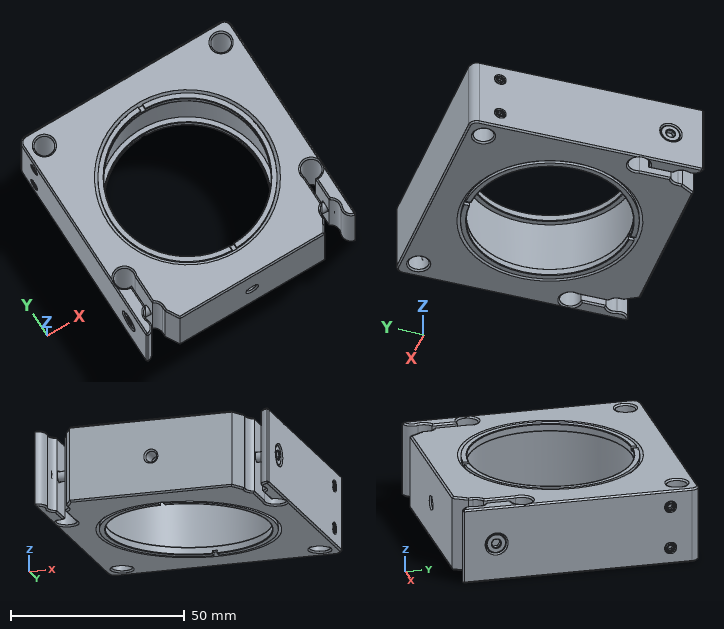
import cadquery as cq
import math

SIDE = 71.1
HEIGHT = 22.8
EDGE = 0.5
CORNER_R = 2.5
HALF = SIDE / 2
TOP = HEIGHT / 2

BORE_D = 51.7
BORE_RIM_D = 53.7
RING_BORE_D = 48.3
RING_EDGE = 0.2
RING_THICK = 2.35
RING_SLOT_W = 1.5
RING_SLOT_DEPTH = 1.0

ROD_POS = 30.0
ROD_R = 3.0
RELIEF_X = 31.7
RELIEF_Y = -16.65
RELIEF_R = 3.1
SLOT_W = 2.4
FLANK_TOP_Y = -31.35
FLANK_END_X = 24.6
NOSE_R = 3.0
NOSE_BEVEL_X = 0.35
NOSE_BEVEL_Y = 0.6
OVERRUN = 2.1

CLAMP_Y = -25.1
CLAMP_D = 3.0
CLAMP_LENGTH = 9.95
CLAMP_CLEARANCE_D = 3.4
CLAMP_HEAD_D = 5.5
CLAMP_HEAD_H = 2.7
CLAMP_SOCKET = 2.5
CLAMP_SOCKET_DEPTH = 1.5
CLAMP_SOCKET_RIM_D = 3.0
COUNTERBORE_D = 6.0
COUNTERBORE_DEPTH = 3.0
COUNTERBORE_EDGE = 0.4

SET_Y = 26.75
SET_Z = 6.4
SET_D = 3.0
SET_LENGTH = 3.0
SET_EDGE = 0.3
SET_SOCKET = 1.4
SET_SOCKET_RIM_D = 2.0
SET_SOCKET_DEPTH = 1.3
SET_HOLE_EDGE = 0.3

MOUNT_D = 3.3
MOUNT_RIM_D = 4.3
MOUNT_DEPTH = 6.0
DRILL_TIP_ANGLE = 118.0

SIDES = (-1, 1)


def cone(large_r, small_r, base, direction):
    """Truncated cone that narrows at 45 degrees from its base."""
    return cq.Workplane(obj=cq.Solid.makeCone(
        large_r, small_r, large_r - small_r, cq.Vector(*base), cq.Vector(*direction)))


def rod(radius, length, base, direction):
    """Cylinder that starts at base and runs along direction."""
    return cq.Workplane(obj=cq.Solid.makeCylinder(
        radius, length, cq.Vector(*base), cq.Vector(*direction)))


def hex_socket(across_flats, depth, rim_d, mouth):
    """Hexagonal socket with a countersunk mouth, running along +X from the point mouth."""
    across_corners = across_flats / math.cos(math.radians(30))
    socket = cq.Workplane("YZ", origin=mouth).polygon(6, across_corners).extrude(depth)
    return socket.union(cone(rim_d / 2, across_flats / 2, mouth, (1, 0, 0)))


def mirrored(body):
    return body.mirror("YZ")


def plate():
    body = cq.Workplane("XY").box(SIDE, SIDE, HEIGHT)
    body = body.edges("|Z and >Y").fillet(CORNER_R)
    return body.faces("<Z or >Z").chamfer(EDGE)


def through_hole(x, y, radius, rim):
    """Vertical through hole with a chamfer of width rim at both ends."""
    hole = rod(radius, HEIGHT, (x, y, -TOP), (0, 0, 1))
    for side in SIDES:
        hole = hole.union(cone(radius + rim, radius, (x, y, side * TOP), (0, 0, -side)))
    return hole


def clamp_channel_outline(z):
    """Slot, rod seat and lead-in on the -X side, open towards -Y."""
    slot_outer = -ROD_POS - SLOT_W / 2
    slot_inner = -ROD_POS + SLOT_W / 2
    seat_top_y = -ROD_POS + math.sqrt(ROD_R**2 - (SLOT_W / 2)**2)
    relief_outer_y = RELIEF_Y - math.sqrt(RELIEF_R**2 - (slot_outer + RELIEF_X)**2)
    relief_inner_y = RELIEF_Y - math.sqrt(RELIEF_R**2 - (slot_inner + RELIEF_X)**2)
    seat_inner = -ROD_POS + ROD_R
    diagonal = ROD_R * math.sqrt(0.5)

    reach = ROD_R + NOSE_R
    lean = math.acos((HALF - ROD_POS) / reach)
    nose_y = -ROD_POS - reach * math.sin(lean)
    touch = (-HALF + NOSE_R * math.cos(lean), nose_y + NOSE_R * math.sin(lean))
    nose_tip = (-HALF + NOSE_BEVEL_X, nose_y - math.sqrt(NOSE_R**2 - NOSE_BEVEL_X**2))
    nose_mid = (-HALF + NOSE_R * math.sqrt(0.5), nose_y - NOSE_R * math.sqrt(0.5))

    beyond = -HALF - OVERRUN
    flank_slope = -(seat_inner + FLANK_END_X) / (HALF + FLANK_TOP_Y)
    flank_beyond_x = -FLANK_END_X + flank_slope * OVERRUN
    bevel_beyond_y = nose_tip[1] + NOSE_BEVEL_Y * (1 + OVERRUN / NOSE_BEVEL_X)

    return (
        cq.Workplane("XY", origin=(0, 0, z))
        .moveTo(slot_outer, relief_outer_y)
        .threePointArc((-RELIEF_X, RELIEF_Y + RELIEF_R), (slot_inner, relief_inner_y))
        .lineTo(slot_inner, seat_top_y)
        .threePointArc((-ROD_POS + diagonal, -ROD_POS + diagonal), (seat_inner, -ROD_POS))
        .lineTo(seat_inner, FLANK_TOP_Y)
        .lineTo(flank_beyond_x, beyond)
        .lineTo(beyond, beyond)
        .lineTo(beyond, bevel_beyond_y)
        .lineTo(*nose_tip)
        .threePointArc(nose_mid, touch)
        .threePointArc((-ROD_POS - diagonal, -ROD_POS + diagonal), (slot_outer, seat_top_y))
        .close()
    )


def clamp_channel():
    channel = clamp_channel_outline(-TOP).extrude(HEIGHT)
    rim = clamp_channel_outline(TOP - EDGE).extrude(EDGE, taper=-45)
    return channel.union(rim).union(rim.mirror("XY"))


def clamp_screw_hole():
    bottom_x = -HALF + COUNTERBORE_DEPTH
    counterbore_r = COUNTERBORE_D / 2
    hole = rod(counterbore_r, COUNTERBORE_DEPTH, (-HALF, CLAMP_Y, 0), (1, 0, 0))
    hole = hole.union(
        cone(counterbore_r + COUNTERBORE_EDGE, counterbore_r, (-HALF, CLAMP_Y, 0), (1, 0, 0)))
    hole = hole.union(
        rod(CLAMP_CLEARANCE_D / 2, -ROD_POS - bottom_x, (bottom_x, CLAMP_Y, 0), (1, 0, 0)))
    return hole.union(rod(CLAMP_D / 2, CLAMP_LENGTH, (bottom_x, CLAMP_Y, 0), (1, 0, 0)))


def set_screw_hole(z):
    radius = SET_D / 2
    hole = rod(radius, SET_LENGTH, (-HALF, SET_Y, z), (1, 0, 0))
    return hole.union(cone(radius + SET_HOLE_EDGE, radius, (-HALF, SET_Y, z), (1, 0, 0)))


def mount_hole():
    radius = MOUNT_D / 2
    tip_length = radius / math.tan(math.radians(DRILL_TIP_ANGLE / 2))
    hole = rod(radius, MOUNT_DEPTH, (0, -HALF, 0), (0, 1, 0))
    tip = cq.Solid.makeCone(
        radius, 0, tip_length, cq.Vector(0, MOUNT_DEPTH - HALF, 0), cq.Vector(0, 1, 0))
    return hole.union(cq.Workplane(obj=tip)).union(
        cone(MOUNT_RIM_D / 2, radius, (0, -HALF, 0), (0, 1, 0)))


def make_housing():
    body = plate()
    body = body.cut(through_hole(0, 0, BORE_D / 2, (BORE_RIM_D - BORE_D) / 2))
    body = body.cut(mount_hole())
    side_cuts = [through_hole(-ROD_POS, ROD_POS, ROD_R, EDGE),
                 through_hole(-RELIEF_X, RELIEF_Y, RELIEF_R, EDGE),
                 clamp_channel(), clamp_screw_hole()]
    side_cuts += [set_screw_hole(side * SET_Z) for side in SIDES]
    for cut in side_cuts:
        body = body.cut(cut).cut(mirrored(cut))
    return body


def make_ring():
    """Upper retaining ring, flush with the top face, with two spanner slots."""
    bore_r = RING_BORE_D / 2
    floor = TOP - RING_THICK
    ring = rod(BORE_D / 2, RING_THICK, (0, 0, floor), (0, 0, 1))
    ring = ring.cut(rod(bore_r, RING_THICK, (0, 0, floor), (0, 0, 1)))
    ring = ring.cut(cone(bore_r + RING_EDGE, bore_r, (0, 0, TOP), (0, 0, -1)))
    ring = ring.cut(cone(bore_r + RING_EDGE, bore_r, (0, 0, floor), (0, 0, 1)))
    slot = cq.Workplane("XY", origin=(0, 0, TOP - RING_SLOT_DEPTH)).rect(RING_SLOT_W, BORE_D)
    return ring.cut(slot.extrude(RING_SLOT_DEPTH))


def make_clamp_screw():
    """Socket head screw on the -X side, seated on the counterbore floor."""
    seat_x = -HALF + COUNTERBORE_DEPTH
    head_x = seat_x - CLAMP_HEAD_H
    screw = rod(CLAMP_HEAD_D / 2, CLAMP_HEAD_H, (head_x, CLAMP_Y, 0), (1, 0, 0))
    screw = screw.union(rod(CLAMP_D / 2, CLAMP_LENGTH, (seat_x, CLAMP_Y, 0), (1, 0, 0)))
    return screw.cut(
        hex_socket(CLAMP_SOCKET, CLAMP_SOCKET_DEPTH, CLAMP_SOCKET_RIM_D, (head_x, CLAMP_Y, 0)))


def make_set_screw(z):
    """Headless socket screw on the -X side, flush with the plate."""
    screw = rod(SET_D / 2, SET_LENGTH, (-HALF, SET_Y, z), (1, 0, 0))
    screw = screw.faces("<X").chamfer(SET_EDGE)
    return screw.cut(
        hex_socket(SET_SOCKET, SET_SOCKET_DEPTH, SET_SOCKET_RIM_D, (-HALF, SET_Y, z)))


housing = make_housing()
upper_ring = make_ring()
lower_ring = upper_ring.mirror("XY")

clamp_screw = make_clamp_screw()
clamp_screws = [clamp_screw.val(), mirrored(clamp_screw).val()]

set_screws = []
for side in SIDES:
    set_screw = make_set_screw(side * SET_Z)
    set_screws += [set_screw.val(), mirrored(set_screw).val()]

result = cq.Compound.makeCompound(
    [housing.val(), upper_ring.val(), lower_ring.val(), *clamp_screws, *set_screws])